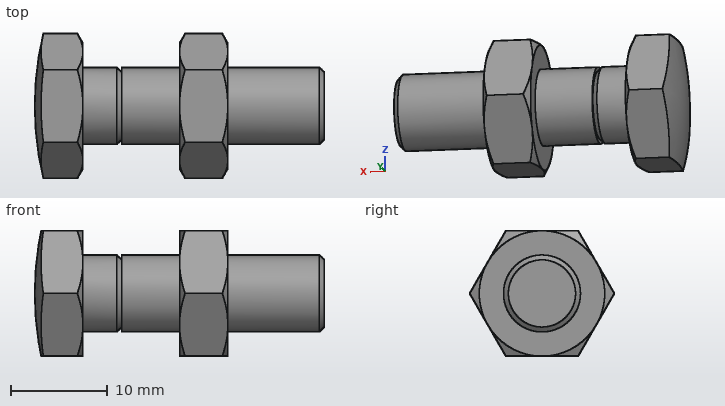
import cadquery as cq
import math

bolt_length = 30.0
corner_diameter = 15.0
corner_radius = corner_diameter / 2
flat_radius = corner_radius * math.cos(math.radians(30))

head_height = 5.0
crown_radius = 31.5
shank_radius = 4.0
end_chamfer = 0.5
groove_end = 9.0
groove_width = 0.5
groove_depth = 0.45

nut_start = 15.0
nut_thickness = 5.0
nut_end = nut_start + nut_thickness

chamfer_angle = 30.0
corner_chamfer = (corner_radius - flat_radius) * math.tan(math.radians(chamfer_angle))


def hexagon(start, end):
    """Hexagonal prism along X with corners on +Y and -Y."""
    return cq.Workplane("YZ", origin=(start, 0, 0)).polygon(6, corner_diameter).extrude(end - start)


def revolve_about_x(profile):
    """Turn a closed profile, drawn as (axial, radial), about the X axis."""
    return profile.close().revolve(360, (0, 0, 0), (1, 0, 0))


def make_head():
    """Hexagon head with a spherical crown and chamfered corners on its underside."""
    crown_drop = crown_radius - math.sqrt(crown_radius**2 - corner_radius**2)
    middle_radius = corner_radius / 2
    middle_drop = crown_radius - math.sqrt(crown_radius**2 - middle_radius**2)
    envelope = revolve_about_x(
        cq.Workplane("XY")
        .moveTo(0, 0)
        .threePointArc((middle_drop, middle_radius), (crown_drop, corner_radius))
        .lineTo(head_height - corner_chamfer, corner_radius)
        .lineTo(head_height, flat_radius)
        .lineTo(head_height, 0)
    )
    return hexagon(0, head_height).intersect(envelope)


def make_shank():
    """Round shank with a V-shaped groove near the head and a chamfered end."""
    return revolve_about_x(
        cq.Workplane("XY")
        .moveTo(head_height, 0)
        .lineTo(head_height, shank_radius)
        .lineTo(groove_end - groove_width, shank_radius)
        .lineTo(groove_end, shank_radius - groove_depth)
        .lineTo(groove_end, shank_radius)
        .lineTo(bolt_length - end_chamfer, shank_radius)
        .lineTo(bolt_length, shank_radius - end_chamfer)
        .lineTo(bolt_length, 0)
    )


def make_bolt():
    return make_head().union(make_shank())


def make_nut():
    """Hexagon nut with both faces chamfered and a bore that fits the shank."""
    envelope = revolve_about_x(
        cq.Workplane("XY")
        .moveTo(nut_start, shank_radius)
        .lineTo(nut_start, flat_radius)
        .lineTo(nut_start + corner_chamfer, corner_radius)
        .lineTo(nut_end - corner_chamfer, corner_radius)
        .lineTo(nut_end, flat_radius)
        .lineTo(nut_end, shank_radius)
    )
    return hexagon(nut_start, nut_end).intersect(envelope)


bolt = make_bolt()
nut = make_nut()
result = cq.Compound.makeCompound([bolt.val(), nut.val()])